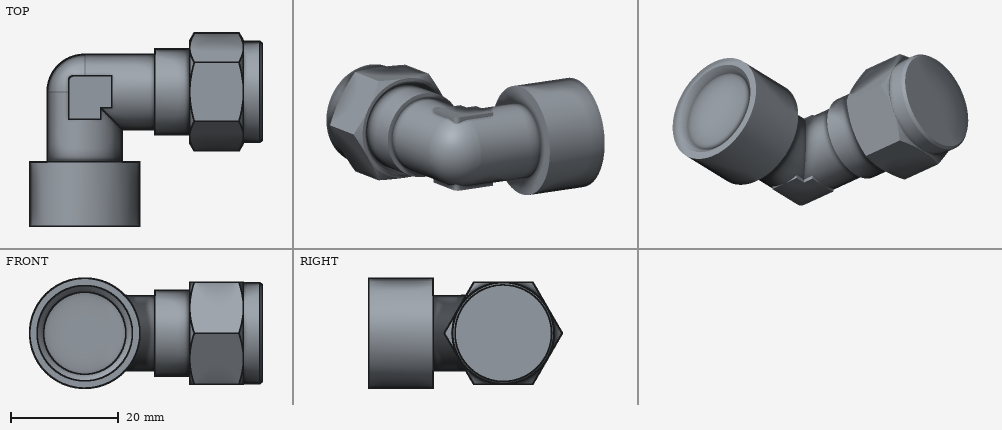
import cadquery as cq
import math

body_diameter = 14.0
body_radius = body_diameter / 2

socket_diameter = 20.5
socket_length = 12.0
socket_face = 25.0
socket_mouth_diameter = 17.75
socket_floor_diameter = 15.25
socket_depth = 1.25

collar_diameter = 16.0
collar_start = 13.0
nut_start = 19.5
nut_end = 29.5
overall_length = 43.25
nose_end = overall_length - socket_diameter / 2
nose_diameter = 18.8
nose_chamfer_length = 0.5
nose_chamfer_depth = 0.45

nut_sides = 6
nut_flats = 19.0
nut_corners = nut_flats / math.cos(math.pi / nut_sides)
nut_chamfer_angle = 30
nut_mouth_diameter = 17.75
nut_recess_depth = (nut_mouth_diameter - collar_diameter) / 2

pad_outer = 3.0
pad_inner = 5.05
pad_corner_radius = 0.85


def cylinder_x(diameter, start, end):
    return cq.Workplane("YZ").workplane(offset=start).circle(diameter / 2).extrude(end - start)


def make_elbow():
    arm_x = cylinder_x(body_diameter, 0, collar_start)
    arm_y = cq.Workplane("XZ").circle(body_radius).extrude(socket_face - socket_length)
    return cq.Workplane("XY").sphere(body_radius).union(arm_x).union(arm_y)


def make_pads():
    return (
        cq.Workplane("XY")
        .workplane(offset=-body_radius)
        .moveTo(-pad_outer, -pad_inner)
        .lineTo(pad_outer, -pad_inner)
        .lineTo(pad_outer, -pad_outer)
        .lineTo(pad_inner, -pad_outer)
        .lineTo(pad_inner, pad_outer)
        .lineTo(pad_corner_radius - pad_outer, pad_outer)
        .radiusArc((-pad_outer, pad_outer - pad_corner_radius), -pad_corner_radius)
        .close()
        .extrude(body_diameter)
    )


def make_socket():
    socket_back = socket_face - socket_length
    outside = (
        cq.Workplane("XZ")
        .workplane(offset=socket_back)
        .circle(socket_diameter / 2)
        .extrude(socket_length)
    )
    recess = (
        cq.Workplane("XZ")
        .workplane(offset=socket_face - socket_depth)
        .circle(socket_floor_diameter / 2)
        .workplane(offset=socket_depth)
        .circle(socket_mouth_diameter / 2)
        .loft(ruled=True)
    )
    return outside.cut(recess)


def make_nut():
    hexagon = (
        cq.Workplane("YZ")
        .workplane(offset=nut_start)
        .polygon(nut_sides, nut_corners)
        .extrude(nut_end - nut_start)
    )
    corner_radius = nut_corners / 2
    flat_radius = nut_flats / 2
    chamfer_length = (corner_radius - flat_radius) * math.tan(math.radians(nut_chamfer_angle))
    envelope = (
        cq.Workplane("XY")
        .moveTo(nut_start, 0)
        .lineTo(nut_start, flat_radius)
        .lineTo(nut_start + chamfer_length, corner_radius)
        .lineTo(nut_end - chamfer_length, corner_radius)
        .lineTo(nut_end, flat_radius)
        .lineTo(nut_end, 0)
        .close()
        .revolve(360, (0, 0, 0), (1, 0, 0))
    )
    recess = (
        cq.Workplane("YZ")
        .workplane(offset=nut_start)
        .circle(nut_mouth_diameter / 2)
        .workplane(offset=nut_recess_depth)
        .circle(collar_diameter / 2)
        .loft(ruled=True)
    )
    return hexagon.intersect(envelope).cut(recess)


def make_nose():
    nose = cylinder_x(nose_diameter, nut_end, nose_end)
    return nose.faces(">X").edges().chamfer(nose_chamfer_length, nose_chamfer_depth)


collar = cylinder_x(collar_diameter, collar_start, nut_end)

result = (
    make_elbow()
    .union(make_pads())
    .union(make_socket())
    .union(make_nut())
    .union(collar)
    .union(make_nose())
)